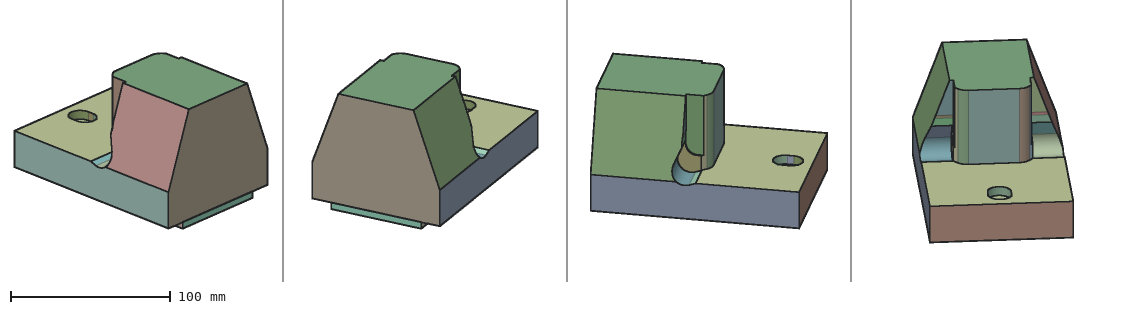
import cadquery as cq
import math

base_length = 133.0
base_width = 90.0
base_height = 25.0

block_height = 51.0
block_top_width = 53.0
nose_width = 50.0
nose_front = 60.3
nose_corner_radius = 8.5
nose_corner_angle = 50.0
nose_corner_end = 6.0

wall_x = 76.1
wall_setback = 0.3
setback_top = 27.2
setback_bottom = 25.1
lower_wall_x = wall_x + wall_setback

groove_radius = 8.5
groove_x = 73.0
groove_z = 6.5
groove_start_x = 66.0
groove_entry_angle = 18.5
groove_exit_angle = 24.0

recess_depth = 1.0
recess_bottom = 10.0
recess_radius = 7.5

slot_length = 19.0
slot_width = 14.8
slot_depth = 6.0
slot_x = 16.1

foot_side = 63.5
foot_x = 100.85
foot_total_height = 5.0
pad_diameter = 50.0
pad_height = 0.3


def make_base():
    return cq.Workplane("XY", origin=(0, 0, -base_height)).box(
        base_length, base_width, base_height, centered=(False, True, False)
    )


def make_wedge():
    """Block with a trapezoid section, from the nose front to the back of the base."""
    half_base = base_width / 2
    half_top = block_top_width / 2
    return (
        cq.Workplane("YZ", origin=(nose_front, 0, 0))
        .polyline([(-half_base, 0), (half_base, 0), (half_top, block_height), (-half_top, block_height)])
        .close()
        .extrude(base_length - nose_front)
    )


def make_relief_cutter():
    """Groove, shoulder wall and the open space in front of them, across the full width."""
    entry = math.radians(groove_entry_angle)
    leave = math.radians(groove_exit_angle)
    entry_point = (groove_x - groove_radius * math.sin(entry), groove_z - groove_radius * math.cos(entry))
    exit_point = (groove_x + groove_radius * math.cos(leave), groove_z + groove_radius * math.sin(leave))
    middle = (leave - entry - math.pi / 2) / 2
    arc_middle = (groove_x + groove_radius * math.cos(middle), groove_z + groove_radius * math.sin(middle))
    flat_top_z = exit_point[1] + (exit_point[0] - lower_wall_x) / math.tan(leave)
    return (
        cq.Workplane("XZ", origin=(0, base_width / 2, 0))
        .moveTo(nose_front, 0)
        .lineTo(groove_start_x, 0)
        .lineTo(*entry_point)
        .threePointArc(arc_middle, exit_point)
        .lineTo(lower_wall_x, flat_top_z)
        .lineTo(lower_wall_x, setback_bottom)
        .tangentArcPoint((wall_x, setback_top), relative=False)
        .lineTo(wall_x, block_height)
        .lineTo(nose_front, block_height)
        .close()
        .extrude(base_width)
    )


def make_nose_core():
    """Nose plan shape with bevelled round corners, running back into the block."""
    turn = math.radians(nose_corner_angle)
    half_width = nose_width / 2
    arc_end_x = nose_corner_radius * (1 - math.cos(turn))
    arc_end_y = half_width - (nose_corner_end - arc_end_x) / math.tan(turn)
    arc_start_y = arc_end_y - nose_corner_radius * math.sin(turn)
    arc_middle_x = nose_corner_radius * (1 - math.cos(turn / 2))
    arc_middle_y = arc_start_y + nose_corner_radius * math.sin(turn / 2)
    return (
        cq.Workplane("XY", origin=(nose_front, 0, -base_height))
        .moveTo(0, -arc_start_y)
        .lineTo(0, arc_start_y)
        .threePointArc((arc_middle_x, arc_middle_y), (arc_end_x, arc_end_y))
        .lineTo(nose_corner_end, half_width)
        .lineTo(base_length - nose_front, half_width)
        .lineTo(base_length - nose_front, -half_width)
        .lineTo(nose_corner_end, -half_width)
        .lineTo(arc_end_x, -arc_end_y)
        .threePointArc((arc_middle_x, -arc_middle_y), (0, -arc_start_y))
        .close()
        .extrude(base_height + block_height)
    )


def make_recess_cutter(side):
    """Shallow cut in one side of the nose, with a rounded lower rear corner."""
    start_y = nose_width / 2 - recess_depth if side > 0 else -nose_width / 2
    return (
        cq.Workplane("XZ", origin=(0, start_y, 0))
        .moveTo(nose_front, recess_bottom)
        .lineTo(lower_wall_x - recess_radius, recess_bottom)
        .radiusArc((lower_wall_x, recess_bottom + recess_radius), -recess_radius)
        .lineTo(lower_wall_x, setback_bottom)
        .tangentArcPoint((wall_x, setback_top), relative=False)
        .lineTo(wall_x, block_height)
        .lineTo(nose_front, block_height)
        .close()
        .extrude(-recess_depth)
    )


def make_slot():
    return (
        cq.Workplane("XY", origin=(slot_x, 0, 0))
        .slot2D(slot_length, slot_width)
        .extrude(-slot_depth)
    )


def make_foot():
    plate_height = foot_total_height - pad_height
    foot = (
        cq.Workplane("XY", origin=(foot_x, 0, -base_height))
        .rect(foot_side, foot_side)
        .extrude(-plate_height)
    )
    pad = (
        cq.Workplane("XY", origin=(foot_x, 0, -base_height - plate_height))
        .circle(pad_diameter / 2)
        .extrude(-pad_height)
    )
    return foot.union(pad)


body = make_base().union(make_wedge())
body = body.cut(make_relief_cutter().cut(make_nose_core()))
for side in (-1, 1):
    body = body.cut(make_recess_cutter(side))
body = body.cut(make_slot())
result = body.union(make_foot())